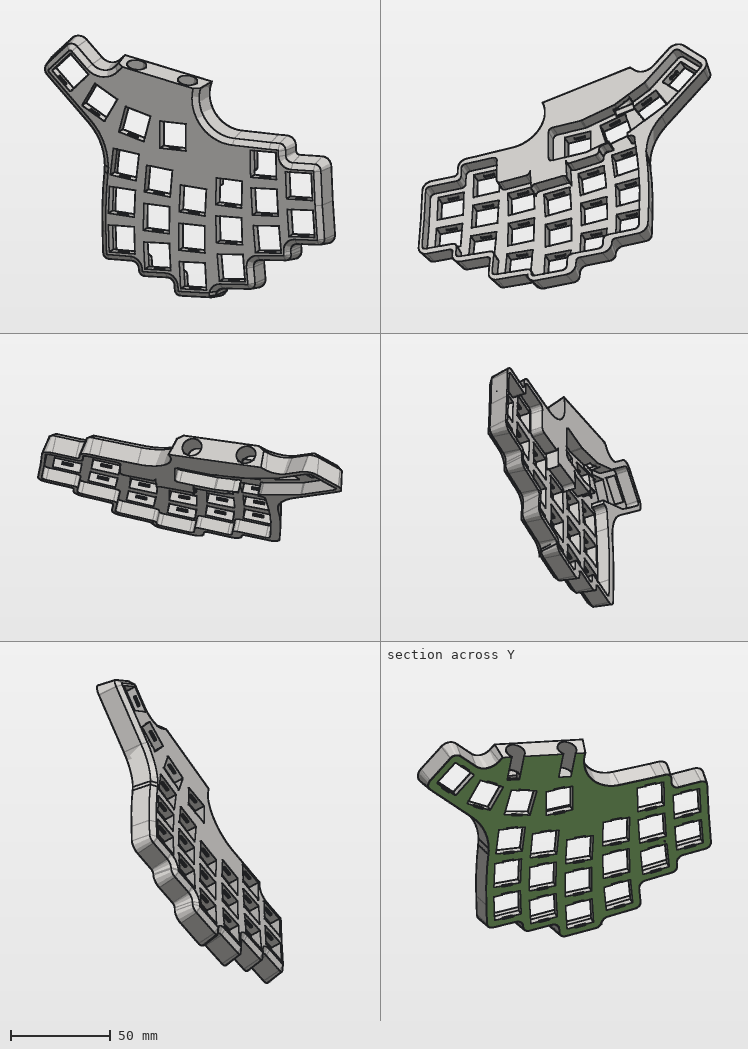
import cadquery as cq
import math


thickness = 12.0
plate_thickness = 5.5
chamfer_depth = 2.3
chamfer_width = 3.0
draft_angle = 10.0
draft_width = (thickness - chamfer_depth) * math.tan(math.radians(draft_angle))

key_size = 14.0
long_pitch = 19.6
middle_pitch = 19.5
short_pitch = 19.3
thumb_pitch = 21.2
thumb_bend = -15
thumb_heading = 176.6
groove_width = 5.5
groove_start = 1.7
groove_height = 1.1
groove_depth = 0.6

rim_reach = 13.1
thumb_rim_reach = 13.5
cavity_reach = 9.8
cavity_left_reach = 8.1
cavity_right_reach = 11.2
thumb_cavity_reach = 10.9
thumb_cavity_right_reach = 13.1

corner_radius = 5.0
thumb_corner_radius = 5.6
step_radius = 1.9
waist_radius = 28.0
left_edge_radius = 233.8
notch_radius = 7.2
cavity_radius = 2.3

socket_tilt = -10.4
socket_point = (43.5, 120.8)
socket_trim_x = (39.0, 101.3)
socket_height = 31.2
bore_diameter = 9.8
bore_depth = 14.3
bore_centers_x = (50.5, 78.2)
bore_y = thickness / 2
bore_floor = bore_depth + bore_y * math.tan(math.radians(draft_angle))

flank_point = (41.1, 121.0)
bay_center = (104.9, 106.0)
bay_radius = 17.3
bay_lean = 24.0
tab_top_z = 140.3

slot_length = 5.6
slot_flare = 1.9
slot_height = 3.7
slot_y = 7.0
slot_overlap = 0.3
passage_x = (42.9, 53.0)
passage_z = (73.3, 84.2)



def key_chain(x, z, tilt, bend, count, pitch, heading):
    """Keys at equal pitch; each is tilted by `bend` more and lies at `heading` from the mean tilt."""
    keys = [(x, z, tilt)]
    for _ in range(count - 1):
        direction = math.radians(tilt + bend / 2 + heading)
        x += pitch * math.cos(direction)
        z += pitch * math.sin(direction)
        tilt += bend
        keys.append((x, z, tilt))
    return keys


def column(x, z, tilt, bend, count, pitch):
    """A finger column, listed from its bottom key upward."""
    return key_chain(x, z, tilt, bend, count, pitch, 90)


columns = [
    column(44.5, 28.4, 1.8, -4.2, 3, long_pitch),
    column(63.9, 21.7, 3.0, -4.0, 3, long_pitch),
    column(83.4, 13.5, 3.2, -3.1, 3, long_pitch),
    column(104.3, 20.0, 5.0, -3.2, 3, middle_pitch),
    column(123.9, 37.0, 5.2, -2.0, 3, short_pitch),
    column(142.3, 47.2, 4.0, -1.5, 2, short_pitch),
]
thumb_keys = key_chain(72.5, 85.3, 0, thumb_bend, 4, thumb_pitch, thumb_heading)
all_keys = thumb_keys + [key for keys in columns for key in keys]



def key_side(key, name, reach, radius):
    """A side parallel to one edge of a key, `reach` from the key centre."""
    x, z, tilt = key
    turn = {"bottom": 0, "right": 90, "top": 180, "left": 270}[name]
    heading = tilt + turn
    outward = math.radians(heading - 90)
    point = (x + reach * math.cos(outward), z + reach * math.sin(outward))
    return point, heading, radius


def staircase(left_reach, reach, right_reach, outer, inner):
    """Sides along the bottom of the columns, from the left of the first to the top of the last."""
    lows = [keys[0] for keys in columns]
    sides = [key_side(columns[0][-1], "left", left_reach, left_edge_radius)]
    for low in lows[:2]:
        sides.append(key_side(low, "left", left_reach, outer))
        sides.append(key_side(low, "bottom", reach, inner))
    sides.append(key_side(lows[2], "left", left_reach, outer))
    sides.append(key_side(lows[2], "bottom", reach, outer))
    for left_low, low in zip(lows[2:], lows[3:]):
        sides.append(key_side(left_low, "right", right_reach, inner))
        sides.append(key_side(low, "bottom", reach, outer))
    sides.append(key_side(columns[5][0], "right", right_reach, 0))
    sides.append(key_side(columns[5][1], "right", right_reach, outer))
    sides.append(key_side(columns[5][1], "top", reach, inner))
    sides.append(key_side(columns[4][2], "right", right_reach, outer))
    return sides


def rim_sides():
    """The whole outer outline; the tab is left tall for the socket face to trim."""
    end_key = thumb_keys[-1]
    lean = math.radians(bay_lean)
    bay_point = (
        bay_center[0] - bay_radius * math.cos(lean),
        bay_center[1] + bay_radius * math.sin(lean),
    )
    bay_floor = (bay_center[0], bay_center[1] - bay_radius)
    return [
        key_side(end_key, "left", rim_reach, thumb_corner_radius),
        key_side(end_key, "bottom", thumb_rim_reach, waist_radius),
        *staircase(rim_reach, rim_reach, rim_reach, corner_radius, step_radius),
        key_side(columns[4][2], "top", rim_reach, 0),
        (bay_floor, 180, bay_radius),
        (bay_point, 90 - bay_lean, 0),
        ((0, tab_top_z), 180, 0),
        (flank_point, 225, notch_radius),
        key_side(end_key, "top", rim_reach, thumb_corner_radius),
    ]


def main_cavity_sides():
    """The cavity behind the finger columns."""
    r = cavity_radius
    tops = [keys[-1] for keys in columns]
    return [
        *staircase(cavity_left_reach, cavity_reach, cavity_right_reach, r, r),
        key_side(tops[4], "top", cavity_reach, r),
        key_side(tops[4], "left", cavity_left_reach, r),
        key_side(tops[3], "top", cavity_reach, r),
        key_side(tops[2], "right", cavity_right_reach, r),
        key_side(tops[2], "top", cavity_reach, r),
        key_side(tops[2], "left", cavity_left_reach, r),
        key_side(tops[1], "top", cavity_reach, r),
        key_side(tops[0], "right", cavity_right_reach, r),
        key_side(tops[0], "top", cavity_reach, r),
    ]


def thumb_cavity_sides():
    """The cavity behind the row of thumb keys."""
    r = cavity_radius
    sides = [key_side(thumb_keys[-1], "left", cavity_reach, r)]
    sides += [key_side(key, "bottom", thumb_cavity_reach, r) for key in reversed(thumb_keys)]
    sides.append(key_side(thumb_keys[0], "right", thumb_cavity_right_reach, r))
    sides += [key_side(key, "top", cavity_reach, r) for key in thumb_keys]
    return sides


def outline_wire(sides, inset, y):
    """The closed wire of an outline at depth y, moved inward by `inset`."""
    lines = []
    for (x, z), heading, radius in sides:
        angle = math.radians(heading)
        direction = cq.Vector(math.cos(angle), 0, math.sin(angle))
        inward = cq.Vector(-math.sin(angle), 0, math.cos(angle))
        lines.append((cq.Vector(x, y, z) + inward * inset, direction, radius))

    corners = []
    for i, (point, along, radius) in enumerate(lines):
        next_point, next_along, _ = lines[(i + 1) % len(lines)]
        cross = along.x * next_along.z - along.z * next_along.x
        gap = next_point - point
        corner = point + along * ((gap.x * next_along.z - gap.z * next_along.x) / cross)
        if radius == 0:
            corners.append((corner, corner, corner))
            continue
        turn = math.atan2(abs(cross), along.dot(next_along))
        moved_radius = radius - math.copysign(inset, cross)
        tangent = moved_radius * math.tan(turn / 2)
        sagitta = moved_radius * (1 / math.cos(turn / 2) - 1)
        middle = corner + (next_along - along).normalized() * sagitta
        corners.append((corner - along * tangent, middle, corner + next_along * tangent))

    edges = []
    for i, (start, middle, end) in enumerate(corners):
        edges.append(cq.Edge.makeLine(corners[i - 1][2], start))
        if start is not end:
            edges.append(cq.Edge.makeThreePointArc(start, middle, end))
    return cq.Wire.assembleEdges(edges)



def key_frame(key, y):
    """Workplane at a key centre: x along its tilt, y up its column, extruding toward the back."""
    x, z, tilt = key
    plane = cq.Plane(origin=(x, y, z), xDir=(1, 0, 0), normal=(0, -1, 0))
    return cq.Workplane(plane).transformed(rotate=(0, 0, tilt))


def rim_body():
    """Solid body: chamfered front and drafted side."""
    front = outline_wire(rim_sides(), draft_width + chamfer_width, 0)
    crease = outline_wire(rim_sides(), draft_width, chamfer_depth)
    back = outline_wire(rim_sides(), 0, thickness)
    chamfered = cq.Solid.makeLoft([front, crease], True)
    drafted = cq.Solid.makeLoft([crease, back], True)
    return cq.Workplane(chamfered).union(cq.Workplane(drafted))


def socket_frame(x):
    """Workplane on the socket line above x: x along the line, y outward, z toward the front."""
    slope = math.tan(math.radians(socket_tilt))
    z = socket_point[1] + (x - socket_point[0]) * slope
    plane = cq.Plane(origin=(x, 0, z), xDir=(1, 0, 0), normal=(0, -1, 0))
    return cq.Workplane(plane).transformed(rotate=(0, 0, socket_tilt))


def socket_trim():
    """Block above the drafted socket face."""
    drop = thickness * math.tan(math.radians(draft_angle))
    start_x, end_x = socket_trim_x
    frame = socket_frame((start_x + end_x) / 2).transformed(rotate=(0, 90, 0))
    profile = frame.polyline(
        [(0, -drop), (thickness, 0), (thickness, socket_height), (0, socket_height)]
    ).close()
    return profile.extrude((end_x - start_x) / 2, both=True)


def bore(x):
    """Flat-bottomed bore square to the socket line."""
    frame = socket_frame(x).transformed(offset=(0, -bore_floor, -bore_y), rotate=(-90, 0, 0))
    return frame.circle(bore_diameter / 2).extrude(bore_floor + socket_height)


def cable_slot():
    """Slot below the left bore, flared at 45 degrees where it leaves the bore floor."""
    half = slot_height / 2
    wide = half + slot_flare
    frame = socket_frame(bore_centers_x[0]).transformed(
        offset=(0, -bore_floor, -slot_y), rotate=(0, 90, 0)
    )
    profile = frame.polyline([
        (-wide, slot_overlap), (-wide, 0), (-half, -slot_flare), (-half, -slot_length),
        (half, -slot_length), (half, -slot_flare), (wide, 0), (wide, slot_overlap),
    ]).close()
    return profile.extrude(bore_diameter / 2, both=True)


def cavity(sides):
    """Pocket of the given outline, open at the back."""
    floor = cq.Face.makeFromWires(outline_wire(sides, 0, plate_thickness))
    depth = cq.Vector(0, thickness - plate_thickness, 0)
    return cq.Workplane(cq.Solid.extrudeLinear(floor, depth))


def passage():
    """Cable passage through the wall between the two cavities."""
    size_x = passage_x[1] - passage_x[0]
    size_z = passage_z[1] - passage_z[0]
    box = cq.Workplane().box(size_x, thickness - plate_thickness, size_z, centered=False)
    return box.translate((passage_x[0], plate_thickness, passage_z[0]))


def key_window(key):
    """Square window through the plate with its two clip grooves."""
    window = key_frame(key, 0).rect(key_size, key_size).extrude(-plate_thickness)
    grooves = key_frame(key, groove_start).rect(groove_width, key_size + 2 * groove_depth)
    return window.union(grooves.extrude(-groove_height))


result = rim_body().cut(socket_trim())
result = result.cut(cavity(main_cavity_sides()))
result = result.cut(cavity(thumb_cavity_sides()))
result = result.cut(passage())
for center_x in bore_centers_x:
    result = result.cut(bore(center_x))
result = result.cut(cable_slot())
for key in all_keys:
    result = result.cut(key_window(key))